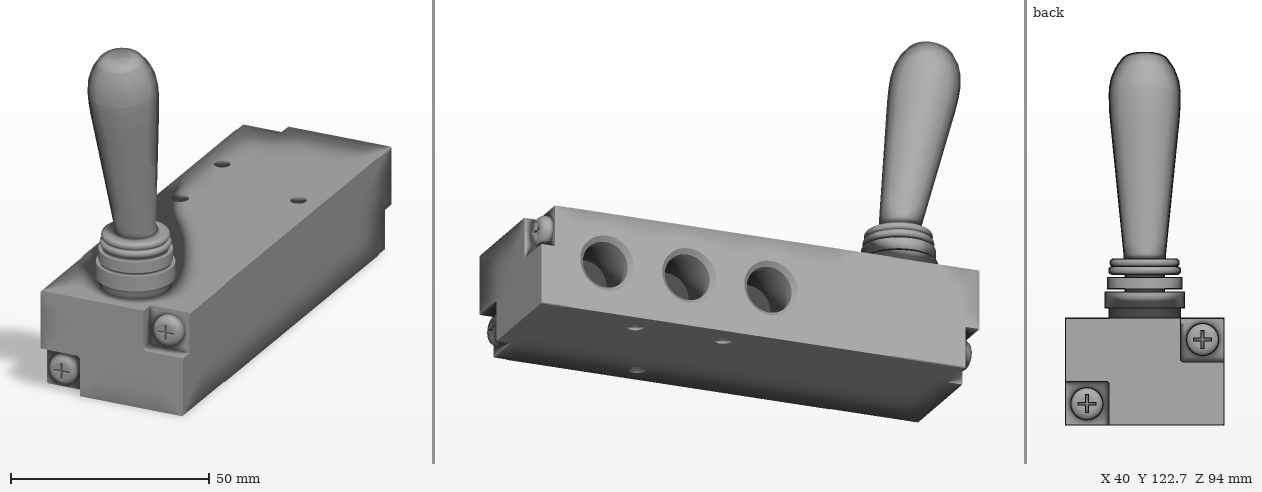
import cadquery as cq


width = 40.0
height = 27.0
length = 120.0
front_cap_length = 24.0
rear_cap_length = 7.5
block_length = length - front_cap_length - rear_cap_length
cap_edge_chamfer = 0.2

port_from_rear = 40.5
port_centre_y = length - port_from_rear
port_pitch = 22.5
port_bore_radius = 6.1
port_mouth_radius = 7.4
port_depth = 15.0

mount_hole_diameter = 4.3
mount_hole_edge = 6.4
mount_hole_pitch = 24.0

pocket_side = 11.0
pocket_depth = 3.8
pocket_corner_radius = 1.0
screw_inset = 5.4
screw_radius = 4.0
screw_height = 3.0
screw_rounding = 2.0
cross_length = 4.5
cross_width = 0.7
cross_depth = 1.0

boot_y = 13.7
boot_height = 15.0
boot_core_radius = 5.0
collar = (9.1, 0.0, 2.6)
lower_flange = (10.0, 2.6, 6.6)
upper_flange = (9.5, 7.4, 10.3)
bead_height = 2.0
upper_bead_radius = 8.7
lower_bead_radius = 9.1

lean_angle = 10.0
stem_sink = 1.5
cone_start = 1.5
cone_end = 36.0
belly_start = 41.0
belly_end = 42.4
shoulder_at = 51.0
grip_length = 52.2
stem_radius = 5.3
cone_end_radius = 8.7
belly_radius = 9.0
shoulder_radius = 5.8
tip_radius = 2.5


def make_block():
    block = cq.Workplane("XY").box(width, block_length, height, centered=(True, False, False))
    block = block.translate((0, front_cap_length, 0))
    hole_x = width / 2 - mount_hole_edge
    hole_centres = [
        (-hole_x, port_centre_y - mount_hole_pitch / 2),
        (-hole_x, port_centre_y + mount_hole_pitch / 2),
        (hole_x, port_centre_y),
    ]
    holes = cq.Workplane("XY").pushPoints(hole_centres).circle(mount_hole_diameter / 2).extrude(height)
    block = block.cut(holes)
    for step in (-1, 0, 1):
        block = block.cut(make_port(port_centre_y + step * port_pitch))
    return block


def make_port(centre_y):
    """Blind bore with a 45 degree countersunk mouth, entering from the -X side."""
    mouth_depth = port_mouth_radius - port_bore_radius
    profile = [
        (0, 0),
        (port_mouth_radius, 0),
        (port_bore_radius, mouth_depth),
        (port_bore_radius, port_depth),
        (0, port_depth),
    ]
    port = cq.Workplane("XY").polyline(profile).close().revolve(360, (0, 0, 0), (0, 1, 0))
    port = port.rotate((0, 0, 0), (0, 0, 1), -90)
    return port.translate((-width / 2, centre_y, height / 2))


def make_pocket():
    """Cutter for the upper +X corner pocket, open to the end face at Y = 0."""
    pocket = cq.Workplane("XY").box(
        2 * pocket_side, pocket_depth, 2 * pocket_side, centered=(True, False, True)
    )
    pocket = pocket.edges("|Y").fillet(pocket_corner_radius)
    return pocket.translate((width / 2, 0, height))


def make_screw_head():
    """Rounded screw head with a cross recess, standing on the pocket floor of the upper +X corner."""
    head = cq.Workplane("XY").circle(screw_radius).extrude(screw_height)
    head = head.faces(">Z").edges().fillet(screw_rounding)
    for slot_size in ((cross_length, cross_width), (cross_width, cross_length)):
        slot = cq.Workplane("XY").workplane(offset=screw_height).rect(*slot_size).extrude(-cross_depth)
        head = head.cut(slot)
    head = head.rotate((0, 0, 0), (1, 0, 0), 90)
    return head.translate((width / 2 - screw_inset, pocket_depth, height - screw_inset))


def make_end_cap(cap_length):
    """End cap with its outer face at Y = 0 and screws in two opposite corners."""
    cap = cq.Workplane("XY").box(width, cap_length, height, centered=(True, False, False))
    cap = cap.edges("|Y").chamfer(cap_edge_chamfer)
    for turn in (0, 180):
        axis_ends = ((0, 0, height / 2), (0, 1, height / 2))
        cap = cap.cut(make_pocket().rotate(*axis_ends, turn))
        cap = cap.union(make_screw_head().rotate(*axis_ends, turn))
    return cap


def make_boot():
    """Bellows boot standing on Z = 0: plain bands below, two round-edged beads on top."""
    boot = cq.Workplane("XY").circle(boot_core_radius).extrude(boot_height)
    for radius, bottom, top in (collar, lower_flange, upper_flange):
        boot = boot.union(cq.Workplane("XY").workplane(offset=bottom).circle(radius).extrude(top - bottom))
    bead_bottom = boot_height
    for radius in (upper_bead_radius, lower_bead_radius):
        bead_bottom -= bead_height
        boot = boot.union(make_bead(radius).translate((0, 0, bead_bottom)))
    return boot


def make_bead(radius):
    """Disc whose rim is a half round."""
    flat_radius = radius - bead_height / 2
    profile = (
        cq.Workplane("XZ")
        .lineTo(flat_radius, 0)
        .threePointArc((radius, bead_height / 2), (flat_radius, bead_height))
        .lineTo(0, bead_height)
        .close()
    )
    return profile.revolve(360, (0, 0, 0), (0, 1, 0))


def make_grip():
    """Stem, cone, belly and domed end, upright on Z = 0 with the stem sunk below it."""
    profile = (
        cq.Workplane("XZ")
        .moveTo(0, -stem_sink)
        .lineTo(stem_radius, -stem_sink)
        .lineTo(stem_radius, cone_start)
        .lineTo(cone_end_radius, cone_end)
        .tangentArcPoint((belly_radius, belly_start), relative=False)
        .lineTo(belly_radius, belly_end)
        .tangentArcPoint((shoulder_radius, shoulder_at), relative=False)
        .tangentArcPoint((tip_radius, grip_length), relative=False)
        .lineTo(0, grip_length)
        .close()
    )
    return profile.revolve(360, (0, 0, 0), (0, 1, 0))


def make_lever():
    """Boot and leaning grip as one piece, seated on top of the front cap."""
    grip = make_grip().rotate((0, 0, 0), (1, 0, 0), lean_angle)
    lever = make_boot().union(grip.translate((0, 0, boot_height)))
    return lever.translate((0, boot_y, height))


block = make_block()
front_cap = make_end_cap(front_cap_length)
rear_cap = make_end_cap(rear_cap_length).rotate((0, 0, 0), (0, 0, 1), 180).translate((0, length, 0))
lever = make_lever()

result = cq.Compound.makeCompound([block.val(), front_cap.val(), rear_cap.val(), lever.val()])